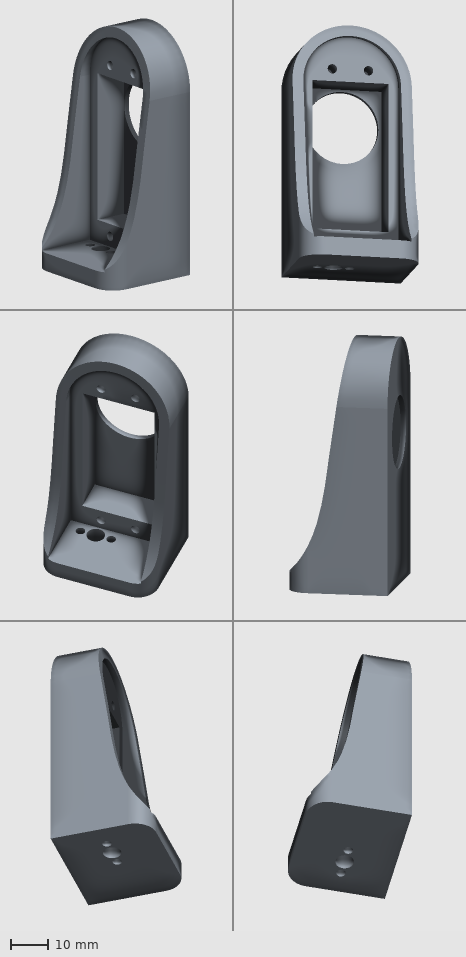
import cadquery as cq

width = 33.0
depth = 28.0
height = 68.0
corner_radius = 6.0
wall = 3.0
floor_thickness = 5.0
arch_center_z = height - width / 2

top_depth = 12.05
front_edge_points = [(14.1, 51.5), (15.5, 42.0), (18.0, 25.15), (21.8, 13.2), (depth, floor_thickness)]

plate_thickness = 10.7
pocket_width = 21.0
pocket_bottom_z = 11.4
pocket_top_z = 52.6
pocket_center_x = 0.35
web_thickness = 1.5

window_diameter = 20.0
window_z = 42.0
small_hole_diameter = 2.6
screw_spacing_x = 10.0
small_hole_depth = 6.0
screw_rows_z = (7.95, 56.0)
screw_center_x = 0.3
cable_hole_diameter = 5.0
base_holes_x = -5.0
base_holes_depth = 13.75
base_screw_spacing = 8.9


def arched_block(block_width, bottom_z, back, front):
    """Block with a semicircular top, between two distances from the back face."""
    half = block_width / 2
    return (
        cq.Workplane("XZ", origin=(0, -back, 0))
        .moveTo(-half, bottom_z)
        .lineTo(half, bottom_z)
        .lineTo(half, arch_center_z)
        .threePointArc((0, arch_center_z + half), (-half, arch_center_z))
        .close()
        .extrude(front - back)
    )


def side_profile():
    """Side silhouette with the sweeping front edge, across the full width."""
    return (
        cq.Workplane("YZ", origin=(-width / 2, 0, 0))
        .lineTo(0, height)
        .lineTo(-top_depth, height)
        .spline([(-y, z) for y, z in front_edge_points], includeCurrent=True)
        .lineTo(-depth, 0)
        .close()
        .extrude(width)
    )


def bore_forward(diameter, x, z, back, front):
    """Cylinder along Y between two distances from the back face."""
    return cq.Workplane("XZ", origin=(0, -back, 0)).center(x, z).circle(diameter / 2).extrude(front - back)


def bore_base(diameter, x):
    """Vertical cylinder through the floor."""
    return cq.Workplane("XY").center(x, -base_holes_depth).circle(diameter / 2).extrude(floor_thickness)


body = arched_block(width, 0, 0, depth)
body = body.edges("|Z and <Y").fillet(corner_radius)
body = body.intersect(side_profile())

body = body.cut(arched_block(width - 2 * wall, floor_thickness, plate_thickness, depth))

pocket = cq.Workplane("XY").box(
    pocket_width,
    plate_thickness - web_thickness,
    pocket_top_z - pocket_bottom_z,
    centered=(True, False, False),
)
body = body.cut(pocket.translate((pocket_center_x, -plate_thickness, pocket_bottom_z)))

body = body.cut(bore_forward(window_diameter, 0, window_z, 0, plate_thickness))

for row_z in screw_rows_z:
    for side in (-1, 1):
        hole_x = screw_center_x + side * screw_spacing_x / 2
        hole_start = plate_thickness - small_hole_depth
        body = body.cut(bore_forward(small_hole_diameter, hole_x, row_z, hole_start, plate_thickness))

body = body.cut(bore_base(cable_hole_diameter, base_holes_x))
for side in (-1, 1):
    body = body.cut(bore_base(small_hole_diameter, base_holes_x + side * base_screw_spacing / 2))

result = body